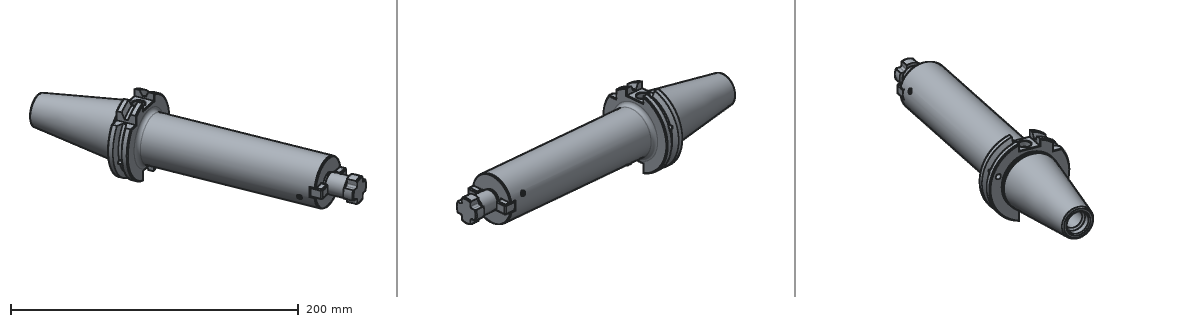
import cadquery as cq
import math


gauge_radius = 22.225
taper_length = 68.4
taper_ratio = 3.5 / 24
taper_end_radius = gauge_radius - taper_length * taper_ratio
taper_end_chamfer = 1.0

flange_start = 3.2
flange_end = 19.1
flange_radius = 31.67
flange_chamfer = 0.8
undercut_radius = 21.6
undercut_slope = 0.7
groove_center = 11.1
groove_half_width = 3.5
groove_floor_radius = 27.8
groove_flank_angle = 30.0
groove_depth = flange_radius - groove_floor_radius
groove_floor_half_width = groove_half_width - groove_depth * math.tan(math.radians(groove_flank_angle))

slot_width = 16.1
slot_edge_chamfer = 0.5
cut_overrun = 1.0
upper_slot_floor = 25.0
lower_slot_floor = 22.8
notch_offset = 18.5
chip_seat_diameter = 9.0
chip_seat_depth = 4.6
chip_seat_chamfer = 0.5
chip_center_diameter = 4.0
chip_center_depth = 1.5

body_radius = 19.0
body_fillet = 3.2
nose_face = 160.0
nose_chamfer_length = 1.0
nose_chamfer_depth = 0.5
pilot_radius = 8.0
pilot_end = 177.0
pilot_chamfer = 0.6
pilot_relief_radius = 7.7
pilot_relief_width = 1.7

bore_mouth_radius = 8.5
bore_mouth_chamfer = 1.0
bore_mouth_depth = 6.0
thread_radius = 7.0
bore_cone_start = 130.0
channel_radius = 3.5
bore_cone_half_angle = 59.0
bore_cone_length = (thread_radius - channel_radius) / math.tan(math.radians(bore_cone_half_angle))

coolant_angle = 20.0
coolant_diameter = 4.0
nose_channel_diameter = 2.0
nose_channel_radius = 6.0
flange_hole_radius = 26.3
nose_hole_position = 146.8

set_screw_length = 4.0
set_screw_recess = 1.3
set_screw_socket = 2.0
set_screw_socket_depth = 1.5

key_width = 8.0
key_start = 155.0
key_end = 165.0
key_inner = 9.0
key_outer = 18.5
key_chamfer = 0.9

screw_radius = 4.0
screw_start = 152.0
screw_tip_chamfer = 1.2
head_radius = 10.0
head_end = 185.0
head_chamfer = 0.8
head_corner_fillet = 1.5
head_lobe_width = 8.4


def box(x_range, y_range, z_range):
    """Box given by its limits along each axis."""
    lengths = [high - low for low, high in (x_range, y_range, z_range)]
    corner = (x_range[0], y_range[0], z_range[0])
    return cq.Workplane("XY").box(*lengths, centered=False).translate(corner)


def rod(x_start, x_end, radius):
    """Cylinder on the tool axis."""
    return cq.Workplane("YZ", origin=(x_start, 0, 0)).circle(radius).extrude(x_end - x_start)


def revolved(profile):
    """Turn a closed (X, radius) profile around the tool axis."""
    return profile.close().revolve(360, (0, 0, 0), (1, 0, 0))


def opposite_pair(shape):
    """The shape and its copy half a turn around the tool axis."""
    return [shape.rotate((0, 0, 0), (1, 0, 0), angle) for angle in (0, 180)]


def at_coolant_angle(shape):
    """Swing a shape built on the +Y side up to the plane of the coolant holes."""
    return shape.rotate((0, 0, 0), (1, 0, 0), coolant_angle)


def radial_rod(x, inner, outer, diameter):
    """Cylinder along +Y, between two distances from the tool axis."""
    plane = cq.Plane(origin=(x, inner, 0), xDir=(1, 0, 0), normal=(0, 1, 0))
    return cq.Workplane(plane).circle(diameter / 2).extrude(outer - inner)


def turned_holder():
    fillet_end = flange_end + body_fillet
    fillet_mid = body_fillet * (1 - math.sqrt(0.5))
    profile = (
        cq.Workplane("XZ")
        .moveTo(-taper_length, 0)
        .lineTo(-taper_length, taper_end_radius - taper_end_chamfer)
        .lineTo(-taper_length + taper_end_chamfer, taper_end_radius + taper_end_chamfer * taper_ratio)
        .lineTo(0, gauge_radius)
        .lineTo(undercut_slope, undercut_radius)
        .lineTo(flange_start - undercut_slope, undercut_radius)
        .lineTo(flange_start, undercut_radius + undercut_slope)
        .lineTo(flange_start, flange_radius - flange_chamfer)
        .lineTo(flange_start + flange_chamfer, flange_radius)
        .lineTo(groove_center - groove_half_width, flange_radius)
        .lineTo(groove_center - groove_floor_half_width, groove_floor_radius)
        .lineTo(groove_center + groove_floor_half_width, groove_floor_radius)
        .lineTo(groove_center + groove_half_width, flange_radius)
        .lineTo(flange_end - flange_chamfer, flange_radius)
        .lineTo(flange_end, flange_radius - flange_chamfer)
        .lineTo(flange_end, body_radius + body_fillet)
        .threePointArc((flange_end + fillet_mid, body_radius + fillet_mid), (fillet_end, body_radius))
        .lineTo(nose_face - nose_chamfer_length, body_radius)
        .lineTo(nose_face, body_radius - nose_chamfer_depth)
        .lineTo(nose_face, pilot_relief_radius)
        .lineTo(nose_face + pilot_relief_width, pilot_relief_radius)
        .lineTo(nose_face + pilot_relief_width, pilot_radius)
        .lineTo(pilot_end - pilot_chamfer, pilot_radius)
        .lineTo(pilot_end, pilot_radius - pilot_chamfer)
        .lineTo(pilot_end, 0)
    )
    return revolved(profile)


def axial_bore():
    mouth_step = -taper_length + bore_mouth_depth
    profile = (
        cq.Workplane("XZ")
        .moveTo(-taper_length, 0)
        .lineTo(-taper_length, bore_mouth_radius + bore_mouth_chamfer)
        .lineTo(-taper_length + bore_mouth_chamfer, bore_mouth_radius)
        .lineTo(mouth_step, bore_mouth_radius)
        .lineTo(mouth_step + bore_mouth_radius - thread_radius, thread_radius)
        .lineTo(bore_cone_start, thread_radius)
        .lineTo(bore_cone_start + bore_cone_length, channel_radius)
        .lineTo(screw_start, channel_radius)
        .lineTo(screw_start, screw_radius)
        .lineTo(pilot_end, screw_radius)
        .lineTo(pilot_end, 0)
    )
    return revolved(profile)


def flange_cut(y_range, z_range):
    """Rectangular cut through the flange along X, chamfered where it meets both flange faces."""
    cut = box((flange_start, flange_end), y_range, z_range)
    center = (sum(y_range) / 2, sum(z_range) / 2)
    flare_size = [high - low + 2 * slot_edge_chamfer for low, high in (y_range, z_range)]
    for x, inward in ((flange_start, 1), (flange_end, -1)):
        plane = cq.Plane(origin=(x, 0, 0), xDir=(0, inward, 0), normal=(inward, 0, 0))
        mouth = cq.Workplane(plane).center(inward * center[0], center[1]).rect(*flare_size)
        cut = cut.union(mouth.extrude(slot_edge_chamfer, taper=45))
    return cut


def flange_cuts():
    """Two drive slots and the corner notch."""
    half_width = slot_width / 2
    reach = flange_radius + cut_overrun
    upper_slot = flange_cut((-half_width, half_width), (upper_slot_floor, reach))
    lower_slot = flange_cut((-half_width, half_width), (-reach, -lower_slot_floor))
    notch = flange_cut((-reach, -notch_offset), (notch_offset, reach))
    return [upper_slot, lower_slot, notch]


def chip_seat():
    """Flat-bottomed seat in the upper slot with a conical dimple at its centre."""
    seat_floor = upper_slot_floor - chip_seat_depth
    profile = (
        cq.Workplane("XZ", origin=(groove_center, 0, 0))
        .moveTo(0, upper_slot_floor)
        .lineTo(chip_seat_diameter / 2 + chip_seat_chamfer, upper_slot_floor)
        .lineTo(chip_seat_diameter / 2, upper_slot_floor - chip_seat_chamfer)
        .lineTo(chip_seat_diameter / 2, seat_floor)
        .lineTo(chip_center_diameter / 2, seat_floor)
        .lineTo(0, seat_floor - chip_center_depth)
        .close()
    )
    return profile.revolve(360, (0, 0, 0), (0, 1, 0))


def coolant_holes():
    """Opposite pairs of coolant holes.

    Face holes in the flange run into the groove holes; channels in the bore's
    end cone run into the nose holes.
    """
    face_hole = rod(flange_start, groove_center, coolant_diameter / 2).translate((0, flange_hole_radius, 0))
    groove_hole = radial_rod(groove_center, 0, flange_radius, coolant_diameter)
    nose_channel = rod(bore_cone_start, nose_hole_position, nose_channel_diameter / 2)
    nose_channel = nose_channel.translate((0, nose_channel_radius, 0))
    nose_hole = radial_rod(nose_hole_position, 0, body_radius, coolant_diameter)
    holes = []
    for hole in (face_hole, groove_hole, nose_channel, nose_hole):
        holes += opposite_pair(at_coolant_angle(hole))
    return holes


def key_seat():
    """Open-ended pocket in the nose that a drive key stands in."""
    half_width = key_width / 2
    return box((key_start, nose_face), (key_inner, body_radius), (-half_width, half_width))


def make_holder():
    holder = turned_holder()
    cuts = [axial_bore(), chip_seat(), *flange_cuts(), *coolant_holes(), *opposite_pair(key_seat())]
    for cut in cuts:
        holder = holder.cut(cut)
    return holder


def make_drive_key():
    half_width = key_width / 2
    key = box((key_start, key_end), (key_inner, key_outer), (-half_width, half_width))
    return key.edges().chamfer(key_chamfer)


def make_set_screw():
    """Hexagon socket plug sunk below the body surface in a nose hole."""
    outer = body_radius - set_screw_recess
    screw = radial_rod(nose_hole_position, outer - set_screw_length, outer, coolant_diameter)
    socket_across_corners = set_screw_socket / math.cos(math.radians(30))
    screw = screw.faces(">Y").workplane().polygon(6, socket_across_corners).cutBlind(-set_screw_socket_depth)
    return at_coolant_angle(screw)


def make_retaining_screw():
    """Plain shank with a round head cut into four lobes."""
    shank = rod(screw_start, pilot_end, screw_radius).faces("<X").chamfer(screw_tip_chamfer)
    blank = rod(pilot_end, head_end, head_radius).faces(">X").chamfer(head_chamfer)
    half_width = head_lobe_width / 2
    x_range = (pilot_end, head_end)
    across = (-head_radius, head_radius)
    thick = (-half_width, half_width)
    cross = box(x_range, across, thick).union(box(x_range, thick, across))
    core = box(x_range, thick, thick)
    core_limits = core.val().BoundingBox()
    inner_corners = cq.selectors.BoxSelector(
        (core_limits.xmin, core_limits.ymin, core_limits.zmin),
        (core_limits.xmax, core_limits.ymax, core_limits.zmax),
    )
    head = blank.intersect(cross.edges("|X").edges(inner_corners).fillet(head_corner_fillet))
    return shank.union(head)


holder = make_holder()
retaining_screw = make_retaining_screw()
drive_keys = opposite_pair(make_drive_key())
set_screws = opposite_pair(make_set_screw())

bodies = [holder, retaining_screw, *drive_keys, *set_screws]
result = cq.Compound.makeCompound([body.val() for body in bodies])